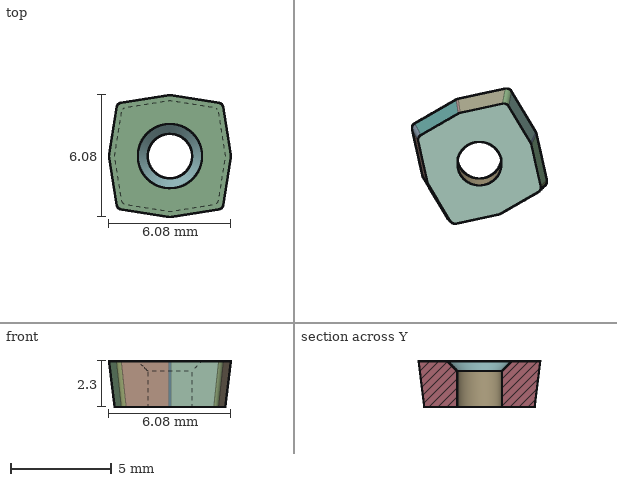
import cadquery as cq
import math

width = 6.08
height = 2.3
relief_angle = 7.0
side_angle = 9.0
corner_radius = 0.29
ridge_radius = 0.35
hole_diameter = 2.2
seat_diameter = 3.205
seat_half_angle = 45.0

side_slope = math.tan(math.radians(side_angle))
ridge_loss = ridge_radius * (1 / math.cos(math.radians(side_angle)) - 1)
top_reach = width / 2 + ridge_loss
bottom_reach = top_reach - height * math.tan(math.radians(relief_angle))


def octagon_points(reach):
    """Sharp outline alternating between side ridges and corners."""
    corner = reach / (1 + side_slope)
    return [
        (reach, 0), (corner, corner),
        (0, reach), (-corner, corner),
        (-reach, 0), (-corner, -corner),
        (0, -reach), (corner, -corner),
    ]


def side_edges(body, on_axis):
    """Leaning side edges: the ridges on the X and Y axes, or all the others."""
    selected = []
    for edge in body.edges("not(#Z)").vals():
        middle = edge.Center()
        is_ridge = min(abs(middle.x), abs(middle.y)) < ridge_radius
        if is_ridge == on_axis:
            selected.append(edge)
    return selected


def make_body():
    """Tapered block with rounded corners and side ridges."""
    body = (
        cq.Workplane("XY")
        .polyline(octagon_points(bottom_reach)).close()
        .workplane(offset=height)
        .polyline(octagon_points(top_reach)).close()
        .loft(ruled=True, combine=True)
    )
    body = body.newObject(side_edges(body, on_axis=False)).fillet(corner_radius)
    return body.newObject(side_edges(body, on_axis=True)).fillet(ridge_radius)


def make_screw_hole():
    """Through hole with a conical screw seat at the top, as one revolved tool."""
    hole_radius = hole_diameter / 2
    seat_radius = seat_diameter / 2
    seat_depth = (seat_radius - hole_radius) / math.tan(math.radians(seat_half_angle))
    return (
        cq.Workplane("XZ")
        .moveTo(0, 0)
        .lineTo(hole_radius, 0)
        .lineTo(hole_radius, height - seat_depth)
        .lineTo(seat_radius, height)
        .lineTo(0, height)
        .close()
        .revolve(360, (0, 0, 0), (0, 1, 0))
    )


result = make_body().cut(make_screw_hole())